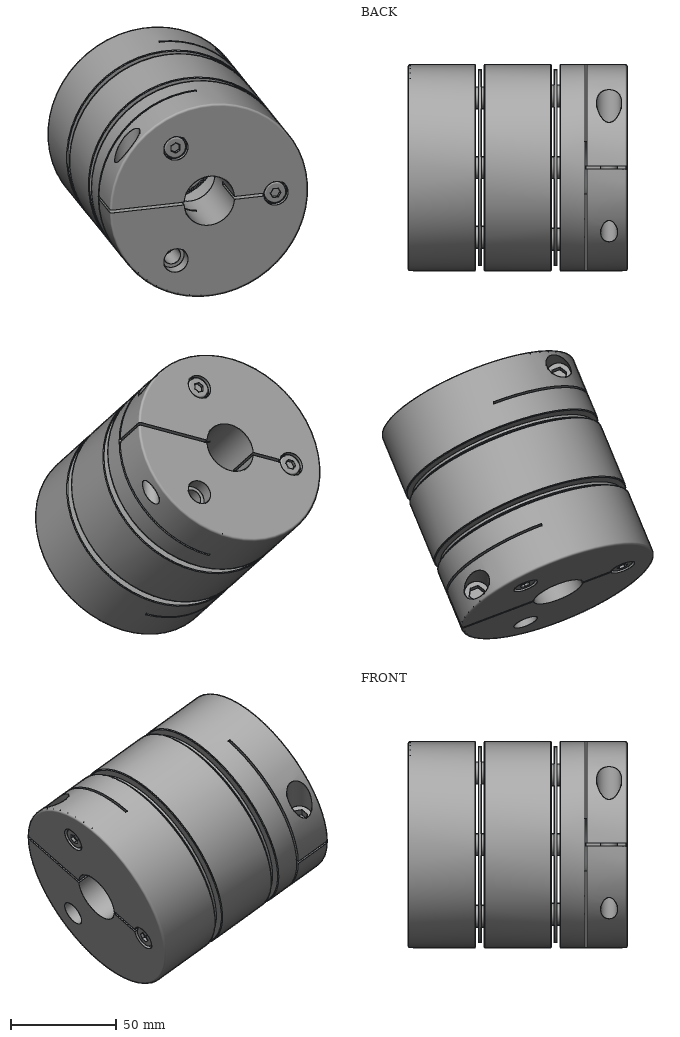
import cadquery as cq
import math

LENGTH = 104.0
OUTER_DIAMETER = 98.0
SECTION = 32.0
GAP = (LENGTH - 3 * SECTION) / 2
END_FILLET = 1.0
GAP_CHAMFER = 0.4

SHAFT_BORE = 25.0
CLEARANCE_BORE = 51.0

DISC_DIAMETER = 93.0
DISC_THICKNESS = 1.4
COLLAR_DIAMETER = 10.5
COLLAR_OFFSET = 34.0
CLOSE_COLLAR_OFFSET = 33.1

AXIAL_SLIT = 1.5
CROSS_SLIT = 1.0
CROSS_SLIT_DEPTH = 19.7
CROSS_SLIT_START = 0.5

FACE_HOLE_DIAMETER = 12.0
FACE_HOLE_RADIUS = 33.1
FACE_SCREWS = (
    (180, 0),
    (60, 90),
)
ACCESS_HOLE_ANGLE = -60
ACCESS_HOLE_DEPTH = 6.5
ACCESS_PILOT_DIAMETER = 8.4
SCREW_RECESS_DEPTH = 2.1
FACE_HEAD_DIAMETER = 10.5
FACE_HEAD_INSET = 0.5
FACE_HEAD_LENGTH = 5.2
FACE_HEAD_FILLET = 0.7
FACE_SOCKET_FLATS = 4.5
FACE_SOCKET_DEPTH = 1.6

CLAMP_INSET = 8.6
CLAMP_OFFSET = 38.1
CLAMP_COUNTERBORE = 12.0
CLAMP_HEAD_TOP = 16.6
CLAMP_SOCKET_FLATS = 6.9
CLAMP_SOCKET_TURN = 90
CLAMP_SOCKET_DEPTH = 4.0
CLAMP_THREAD = 8.0
CLAMP_SCREW_END = -20.8

OUTER_RADIUS = OUTER_DIAMETER / 2
HUB_FACE = -LENGTH / 2
HUB_BACK = HUB_FACE + SECTION


def axial_cylinder(diameter, start, length, y=0.0, z=0.0):
    return cq.Workplane("YZ", origin=(start, y, z)).circle(diameter / 2).extrude(length)


def vertical_cylinder(diameter, x, y, bottom, top):
    return cq.Workplane("XY", origin=(x, y, bottom)).circle(diameter / 2).extrude(top - bottom)


def hexagon(plane, origin, flats, turn):
    """Hexagon given by its width across flats and its turn in the plane."""
    corners = flats / math.cos(math.pi / 6)
    return cq.Workplane(plane, origin=origin).transformed(rotate=(0, 0, turn)).polygon(6, corners)


def face_position(angle):
    turn = math.radians(angle)
    return FACE_HOLE_RADIUS * math.cos(turn), FACE_HOLE_RADIUS * math.sin(turn)


def cut_slits(hub):
    cross_middle = HUB_FACE + CROSS_SLIT_DEPTH
    cross_width = OUTER_RADIUS - CROSS_SLIT_START
    cross = cq.Workplane("XY").box(CROSS_SLIT, cross_width, OUTER_DIAMETER)
    cross = cross.translate((cross_middle, CROSS_SLIT_START + cross_width / 2, 0))
    axial_width = OUTER_RADIUS + FACE_HOLE_RADIUS
    axial = cq.Workplane("XY").box(CROSS_SLIT_DEPTH, axial_width, AXIAL_SLIT)
    axial = axial.translate(
        (HUB_FACE + CROSS_SLIT_DEPTH / 2, (OUTER_RADIUS - FACE_HOLE_RADIUS) / 2, 0)
    )
    return hub.cut(cross).cut(axial)


def add_face_screw(hub, angle, socket_turn):
    y, z = face_position(angle)
    recess = axial_cylinder(FACE_HOLE_DIAMETER, HUB_FACE, SCREW_RECESS_DEPTH, y, z)
    head_top = HUB_FACE + FACE_HEAD_INSET
    head = axial_cylinder(FACE_HEAD_DIAMETER, head_top, FACE_HEAD_LENGTH, y, z)
    head = head.faces("<X").edges().fillet(FACE_HEAD_FILLET)
    socket = hexagon("YZ", (head_top, y, z), FACE_SOCKET_FLATS, socket_turn).extrude(FACE_SOCKET_DEPTH)
    return hub.cut(recess).union(head).cut(socket)


def cut_access_hole(hub):
    y, z = face_position(ACCESS_HOLE_ANGLE)
    hole = axial_cylinder(FACE_HOLE_DIAMETER, HUB_FACE, ACCESS_HOLE_DEPTH, y, z)
    pilot = axial_cylinder(ACCESS_PILOT_DIAMETER, HUB_FACE, SECTION, y, z)
    return hub.cut(hole).cut(pilot)


def add_clamp_screw(hub):
    x = HUB_FACE + CLAMP_INSET
    y = CLAMP_OFFSET
    counterbore = vertical_cylinder(CLAMP_COUNTERBORE, x, y, CLAMP_HEAD_TOP, OUTER_RADIUS)
    thread = vertical_cylinder(CLAMP_THREAD, x, y, -OUTER_RADIUS, CLAMP_SCREW_END)
    shank = vertical_cylinder(CLAMP_THREAD, x, y, CLAMP_SCREW_END, CLAMP_HEAD_TOP)
    socket = hexagon("XY", (x, y, CLAMP_HEAD_TOP), CLAMP_SOCKET_FLATS, CLAMP_SOCKET_TURN)
    socket = socket.extrude(-CLAMP_SOCKET_DEPTH)
    return hub.cut(counterbore).cut(thread).union(shank).cut(socket)


def make_hub():
    """Left hub, its screws included."""
    hub = axial_cylinder(OUTER_DIAMETER, HUB_FACE, SECTION)
    hub = hub.faces("<X").edges().fillet(END_FILLET)
    hub = hub.faces(">X").edges().chamfer(GAP_CHAMFER)
    hub = hub.cut(axial_cylinder(SHAFT_BORE, HUB_FACE, SECTION))
    hub = cut_slits(hub)
    for angle, socket_turn in FACE_SCREWS:
        hub = add_face_screw(hub, angle, socket_turn)
    hub = cut_access_hole(hub)
    return add_clamp_screw(hub)


def make_spacer():
    spacer = axial_cylinder(OUTER_DIAMETER, -SECTION / 2, SECTION)
    spacer = spacer.edges().chamfer(GAP_CHAMFER)
    return spacer.cut(axial_cylinder(CLEARANCE_BORE, -SECTION / 2, SECTION))


def make_disc(gap_start, y_offset, z_offset):
    """Disc in the middle of its gap, with four collars that reach both neighbours."""
    disc = axial_cylinder(DISC_DIAMETER, gap_start + (GAP - DISC_THICKNESS) / 2, DISC_THICKNESS)
    disc = disc.cut(axial_cylinder(CLEARANCE_BORE, gap_start, GAP))
    collar_places = [(y_offset, 0), (-y_offset, 0), (0, z_offset), (0, -z_offset)]
    for y, z in collar_places:
        disc = disc.union(axial_cylinder(COLLAR_DIAMETER, gap_start, GAP, y, z))
    return disc


left_hub = make_hub()
right_hub = left_hub.rotate((0, 0, 0), (0, 0, 1), 180)
spacer = make_spacer()
discs = [
    make_disc(HUB_BACK, COLLAR_OFFSET, COLLAR_OFFSET),
    make_disc(SECTION / 2, COLLAR_OFFSET, CLOSE_COLLAR_OFFSET),
]

result = cq.Compound.makeCompound(
    [left_hub.val(), right_hub.val(), spacer.val(), *[disc.val() for disc in discs]]
)